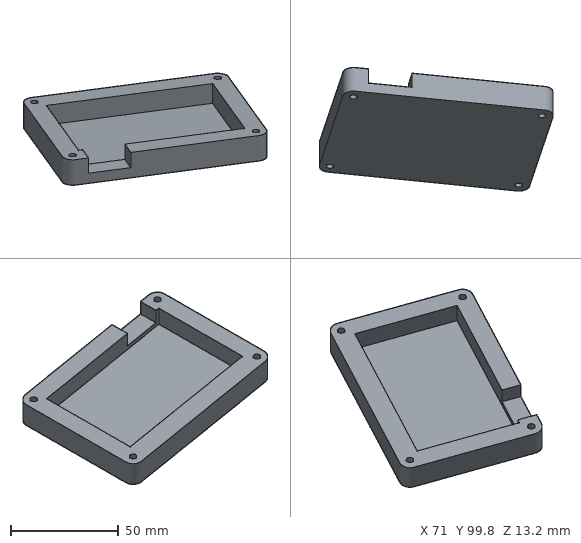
import cadquery as cq

width = 71.0
length = 99.8
height = 13.2
corner_radius = 5.2

hole_diameter = 3.4
hole_inset = 5.1

left_wall = 10.4
right_wall = 9.5
end_wall = 9.3
pocket_depth = 10.2

notch_length = 20.7
notch_from_front = 11.3
notch_depth = 7.9

right = width / 2
front = -length / 2


def corner_block(size_x, size_y, size_z, x, y, z):
    """Box whose lowest left front corner is at (x, y, z)."""
    return cq.Workplane("XY").box(size_x, size_y, size_z, centered=False).translate((x, y, z))


body = (
    cq.Workplane("XY")
    .box(width, length, height, centered=(True, True, False))
    .edges("|Z")
    .fillet(corner_radius)
)

holes = (
    cq.Workplane("XY")
    .rect(width - 2 * hole_inset, length - 2 * hole_inset, forConstruction=True)
    .vertices()
    .circle(hole_diameter / 2)
    .extrude(height)
)

pocket = corner_block(
    width - left_wall - right_wall,
    length - 2 * end_wall,
    pocket_depth,
    -right + left_wall,
    front + end_wall,
    height - pocket_depth,
)

notch = corner_block(
    right_wall,
    notch_length,
    notch_depth,
    right - right_wall,
    front + notch_from_front,
    height - notch_depth,
)

result = body.cut(holes).cut(pocket).cut(notch)